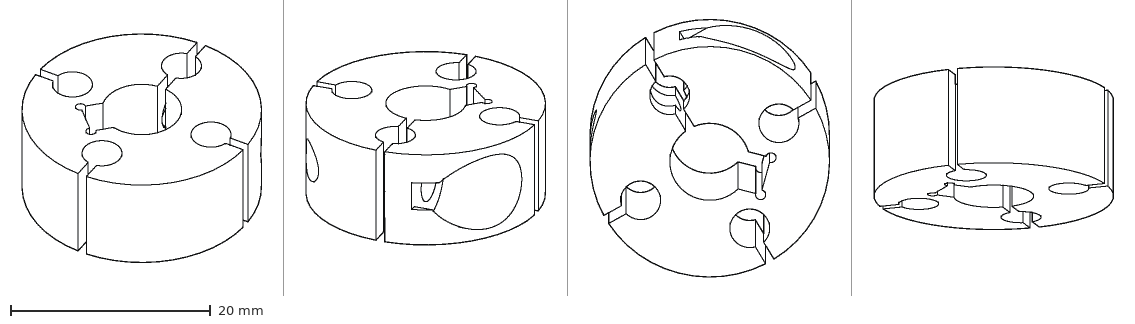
import cadquery as cq

outer_diameter = 23.98
height = 10.0
bore_diameter = outer_diameter / 3

hole_diameter = outer_diameter / 6
hole_circle_radius = outer_diameter / 3
slit_width = 0.95

key_angle = 225
key_width = outer_diameter / 6
key_depth = 5.8
relief_diameter = 1.0

screw_y = 6.98
screw_hole_diameter = 4.12
screw_head_diameter = outer_diameter / 3
screw_seat_x = -3.21

notch_height = 2.97
notch_rise = 0.38

outer_radius = outer_diameter / 2


def make_ring():
    return cq.Workplane("XY").circle(outer_radius).circle(bore_diameter / 2).extrude(height)


def radial_slot(start, end, width, angle):
    """Full-height straight slot between two distances from the axis."""
    slot = cq.Workplane("XY").center((start + end) / 2, 0).rect(end - start, width).extrude(height)
    return slot.rotate((0, 0, 0), (0, 0, 1), angle)


def cut_holes_and_slits(body):
    holes = cq.Workplane("XY").polarArray(hole_circle_radius, 0, 360, 4)
    body = body.cut(holes.circle(hole_diameter / 2).extrude(height))
    for angle in (0, 90, 180, 270):
        start = 0 if angle == 90 else hole_circle_radius
        body = body.cut(radial_slot(start, outer_diameter, slit_width, angle))
    return body


def cut_keyway(body):
    corners = [(key_depth, side * key_width / 2) for side in (-1, 1)]
    reliefs = cq.Workplane("XY").pushPoints(corners).circle(relief_diameter / 2).extrude(height)
    body = body.cut(reliefs.rotate((0, 0, 0), (0, 0, 1), key_angle))
    return body.cut(radial_slot(0, key_depth, key_width, key_angle))


def cut_clamp_screw(body):
    start_plane = cq.Workplane("YZ", origin=(-outer_radius, screw_y, height / 2))
    body = body.cut(start_plane.circle(screw_hole_diameter / 2).extrude(outer_diameter))
    seat_depth = outer_radius + screw_seat_x
    return body.cut(start_plane.circle(screw_head_diameter / 2).extrude(seat_depth))


def cut_seat_notch(body):
    notch_length = outer_radius - screw_y
    seat_depth = outer_radius + screw_seat_x
    notch = cq.Workplane("XY").box(seat_depth, notch_length, notch_height, centered=(False, False, True))
    return body.cut(notch.translate((-outer_radius, screw_y, height / 2 + notch_rise)))


result = make_ring()
result = cut_holes_and_slits(result)
result = cut_keyway(result)
result = cut_clamp_screw(result)
result = cut_seat_notch(result)